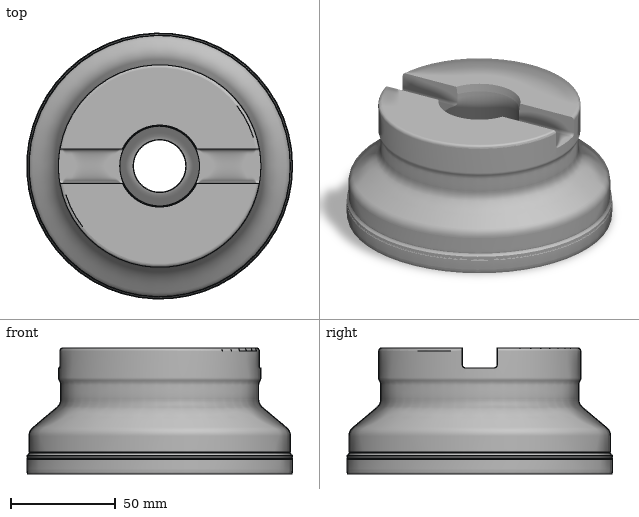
import cadquery as cq
import math

height = 60.3
base_radius = 63.5

base_foot_chamfer = 0.9
base_foot_inset = 0.4
base_lead_height = 2.0
land_inset = 0.1
land_top = 7.0
flange_height = 8.9
flange_chamfer = 1.1
groove_bottom = 7.5
groove_width = 0.6
groove_depth = 0.3

body_radius = 62.5
relief_radius = 62.2
relief_bottom = flange_height + flange_chamfer
relief_top = 10.5
cone_angle = 40.0
blend_radius = 5.1
body_top = 18.3

neck_radius = 94.6 / 2
head_radius = 96.7 / 2
neck_top = 42.7
head_bottom = 46.0
head_edge_radius = 1.5
neck_curve_share = 0.6

through_diameter = 25.0
bore_diameter = 38.1
entry_diameter = 39.1
entry_depth = 3.8
relief_bore_top = 37.5
bore_floor = 34.4

slot_width = 16.5
slot_depth = 9.5
slot_corner_radius = 1.4


def make_body():
    """Turn the outer shape, with the cone blended into the neck and the body."""
    angle = math.radians(cone_angle)
    half_angle = (math.pi / 2 + angle) / 2

    blend_rise = blend_radius * math.cos(angle)
    blend_run = blend_radius * (1 - math.sin(angle))
    mid_rise = blend_radius * math.cos(half_angle)
    mid_run = blend_radius * (1 - math.sin(half_angle))
    rise = blend_radius * math.sin(math.pi / 2 - half_angle)

    cone_bottom_radius = body_radius - blend_run
    cone_top_radius = neck_radius + blend_run
    cone_bottom = body_top + blend_rise
    cone_top = cone_bottom + (cone_bottom_radius - cone_top_radius) * math.tan(angle)
    neck_bottom = cone_top + blend_rise

    land_radius = base_radius - land_inset

    curve_radius = neck_radius + neck_curve_share * (head_radius - neck_radius)
    curve_height = neck_top + neck_curve_share * (head_bottom - neck_top)

    profile = (
        cq.Workplane("XZ")
        .lineTo(base_radius - base_foot_inset, 0)
        .lineTo(land_radius, base_foot_chamfer)
        .lineTo(base_radius, base_lead_height)
        .lineTo(base_radius, land_top)
        .lineTo(land_radius, land_top + land_inset)
        .lineTo(land_radius, flange_height)
        .lineTo(relief_radius, relief_bottom)
        .lineTo(relief_radius, relief_top)
        .lineTo(body_radius, relief_top)
        .lineTo(body_radius, body_top)
        .threePointArc((body_radius - mid_run, body_top + rise), (cone_bottom_radius, cone_bottom))
        .lineTo(cone_top_radius, cone_top)
        .threePointArc((neck_radius + mid_run, neck_bottom - mid_rise), (neck_radius, neck_bottom))
        .lineTo(neck_radius, neck_top)
        .tangentArcPoint((curve_radius, curve_height), relative=False)
        .tangentArcPoint((head_radius, head_bottom), relative=False)
        .lineTo(head_radius, height)
        .lineTo(0, height)
        .close()
    )
    body = profile.revolve(360, (0, 0, 0), (0, 1, 0))
    return body.faces(">Z").edges().fillet(head_edge_radius)


def cylinder(diameter, bottom, top):
    return cq.Workplane("XY").workplane(offset=bottom).circle(diameter / 2).extrude(top - bottom)


def make_bore():
    """Stepped bore: tapered entry, main bore, shallow relief above the floor, through hole."""
    entry_taper = math.degrees(math.atan((entry_diameter - bore_diameter) / 2 / entry_depth))
    entry_rim = cq.Workplane("XY").workplane(offset=height).circle(entry_diameter / 2)
    entry = entry_rim.extrude(-entry_depth, taper=entry_taper)
    main = cylinder(bore_diameter, bore_floor, height)
    relief = cylinder(entry_diameter, bore_floor, relief_bore_top)
    through = cylinder(through_diameter, 0, height)
    return entry.union(main).union(relief).union(through)


def make_slot():
    """Slot across the head with rounded floor corners."""
    slot = cq.Workplane("XY").box(2 * base_radius, slot_width, slot_depth, centered=(True, True, False))
    slot = slot.edges("|X and <Z").fillet(slot_corner_radius)
    return slot.translate((0, 0, height - slot_depth))


def make_groove():
    """Shallow ring groove around the flange."""
    outer = cylinder(2 * base_radius, groove_bottom, groove_bottom + groove_width)
    inner = cylinder(2 * (base_radius - groove_depth), groove_bottom, groove_bottom + groove_width)
    return outer.cut(inner)


result = make_body().cut(make_bore()).cut(make_slot()).cut(make_groove())